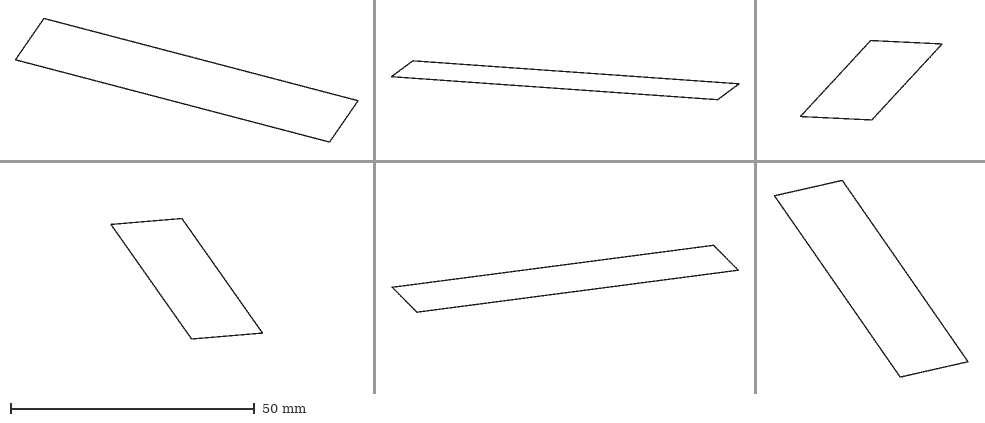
import cadquery as cq

length = 70.0
width = 15.0
thickness = 0.03

result = cq.Workplane("XY").box(length, width, thickness)